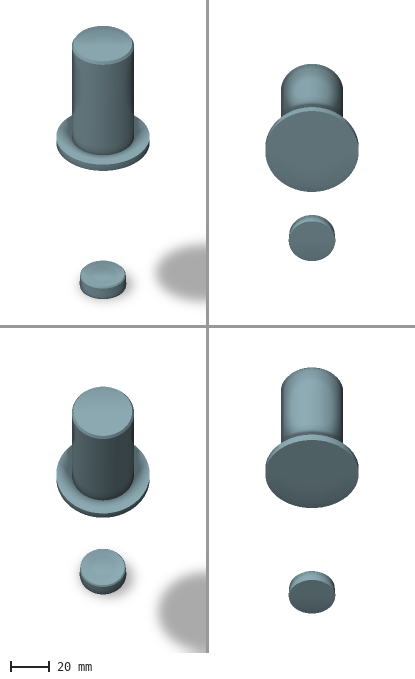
import cadquery as cq

overall_height = 156.0
pin_length = 64.0
pin_bottom = overall_height - pin_length
flange_radius = 48.0 / 2
flange_thickness = 4.0
shank_radius = 32.0 / 2
tip_chamfer_height = 1.5
tip_chamfer_width = 1.0

button_height = 7.5
button_base_radius = 24.0 / 2
button_top_radius = 23.4 / 2
base_chamfer_height = 1.0
base_chamfer_width = 0.2
rim_height = 0.8
rim_inset = 0.6
dish_depth = 0.5
dish_floor_radius = 12.8 / 2


def make_pin():
    """Flange and shank in one piece, with a chamfered free end."""
    flange = cq.Workplane("XY", origin=(0, 0, pin_bottom)).circle(flange_radius).extrude(flange_thickness)
    shank = (
        flange.faces(">Z").workplane()
        .circle(shank_radius)
        .extrude(pin_length - flange_thickness)
    )
    return shank.faces(">Z").edges().chamfer(tip_chamfer_height, tip_chamfer_width)


def make_button():
    """Half profile in the XZ plane, revolved about Z."""
    side_top = button_height - rim_height
    dish_floor = button_height - dish_depth
    return (
        cq.Workplane("XZ")
        .moveTo(0, 0)
        .lineTo(button_base_radius - base_chamfer_width, 0)
        .lineTo(button_base_radius, base_chamfer_height)
        .lineTo(button_top_radius, side_top)
        .lineTo(button_top_radius - rim_inset, button_height)
        .lineTo(dish_floor_radius, dish_floor)
        .lineTo(0, dish_floor)
        .close()
        .revolve(360, (0, 0, 0), (0, 1, 0))
    )


pin = make_pin()
button = make_button()

result = cq.Compound.makeCompound([pin.val(), button.val()])